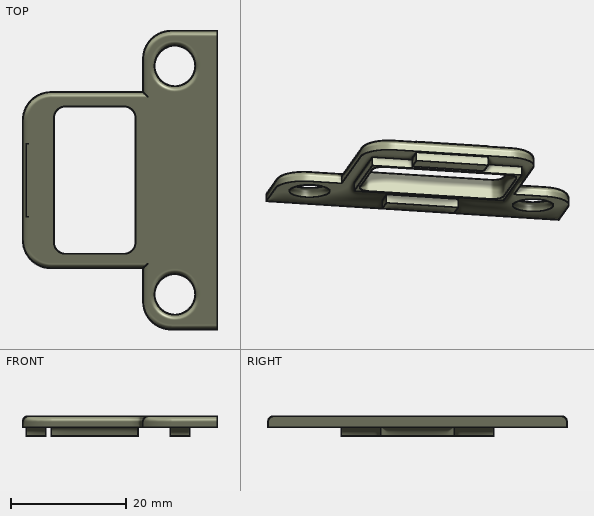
import cadquery as cq

plate_length = 33.85
plate_width = 52
plate_thickness = 2.0
tongue_width = 30.7
tongue_reach = 20.9
corner_radius = 5.0
edge_round = 1.0

window_start = 5.45
window_length = 14.15
window_width = 25.6
window_corner_radius = 2.0
rim_wall = 0.495
underside_height = 1.5

tab_length = 3.45
tab_width = 12.75
front_tab_start = 0.6
back_tab_start = 25.65

hole_diameter = 7.0
hole_from_back = 7.4
hole_from_side = 6.15

hole_x = plate_length - hole_from_back
hole_y = plate_width / 2 - hole_from_side


def centered_block(start_x, length, width, bottom, top):
    """Box starting at start_x and centred on Y = 0."""
    return (
        cq.Workplane("XY", origin=(start_x + length / 2, 0, bottom))
        .box(length, width, top - bottom, centered=(True, True, False))
    )


def make_plate():
    """T-shaped plate with round corners and a rounded top edge, square at the back."""
    tongue = centered_block(0, plate_length, tongue_width, 0, plate_thickness)
    strip_length = plate_length - tongue_reach
    strip = centered_block(tongue_reach, strip_length, plate_width, 0, plate_thickness)
    tongue = tongue.edges("|Z and <X").fillet(corner_radius)
    strip = strip.edges("|Z and <X").fillet(corner_radius)
    plate = tongue.union(strip)
    return plate.faces(">Z").edges("not >X").fillet(edge_round)


def make_hole_cutter(y):
    """Through hole that flares out in a quarter round at the top face."""
    radius = hole_diameter / 2
    lip_radius = radius + edge_round
    lip_bottom = plate_thickness - edge_round
    return (
        cq.Workplane("XZ")
        .lineTo(radius, 0)
        .lineTo(radius, lip_bottom)
        .radiusArc((lip_radius, plate_thickness), edge_round)
        .lineTo(0, plate_thickness)
        .close()
        .revolve(360, (0, 0, 0), (0, 1, 0))
        .translate((hole_x, y, 0))
    )


def make_window_cutter():
    window = centered_block(window_start, window_length, window_width, -underside_height, plate_thickness)
    return window.edges("|Z").fillet(window_corner_radius)


rim = centered_block(
    window_start - rim_wall,
    window_length + 2 * rim_wall,
    window_width + 2 * rim_wall,
    -underside_height,
    0,
)
front_tab = centered_block(front_tab_start, tab_length, tab_width, -underside_height, plate_thickness)
back_tab = centered_block(back_tab_start, tab_length, tab_width, -underside_height, 0)

result = make_plate().union(rim).union(front_tab).union(back_tab)
result = result.cut(make_window_cutter())
for y in (-hole_y, hole_y):
    result = result.cut(make_hole_cutter(y))